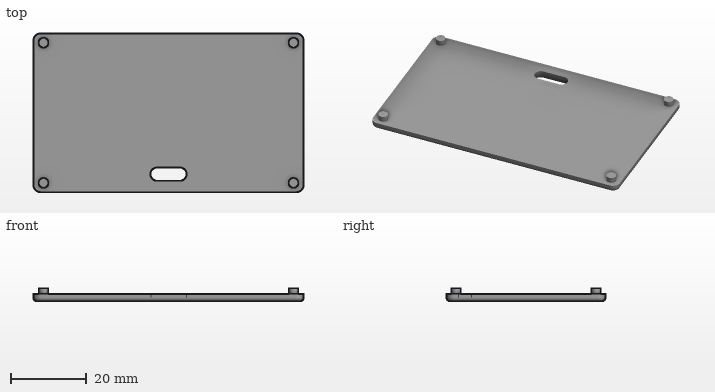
import cadquery as cq

plate_length = 71.4
plate_width = 42.0
plate_thickness = 2.0
corner_radius = 2.0
bottom_edge_radius = 1.0

total_height = 3.5
pin_height = total_height - plate_thickness
pin_diameter = 2.6
pin_spacing_x = 66.0
pin_spacing_y = 37.0

slot_length = 9.5
slot_width = 3.45
slot_edge_distance = 4.8
slot_center_y = slot_edge_distance - plate_width / 2


def make_plate():
    """Plate with rounded corners and a rounded bottom rim, bottom face at Z = 0."""
    plate = cq.Workplane("XY").box(plate_length, plate_width, plate_thickness, centered=(True, True, False))
    plate = plate.edges("|Z").fillet(corner_radius)
    return plate.faces("<Z").edges().fillet(bottom_edge_radius)


def make_pins():
    """One round pin near each plate corner, standing on the top face."""
    return (
        cq.Workplane("XY")
        .workplane(offset=plate_thickness)
        .rect(pin_spacing_x, pin_spacing_y, forConstruction=True)
        .vertices()
        .circle(pin_diameter / 2)
        .extrude(pin_height)
    )


def make_slot():
    """Round-ended cutter along X, as deep as the plate."""
    return cq.Workplane("XY").center(0, slot_center_y).slot2D(slot_length, slot_width).extrude(plate_thickness)


result = make_plate().union(make_pins()).cut(make_slot())